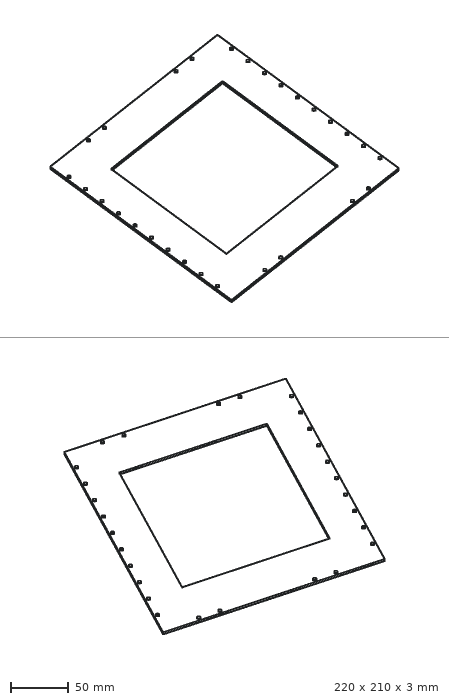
import cadquery as cq

length = 220.0
width = 210.0
thickness = 3.0
window_side = 140.0

hole_diameter = 3.0
edge_inset = 3.0
hole_pitch = 20.0
holes_per_long_edge = 10

upper_pair_outer_y = 70.0
lower_pair_outer_y = -60.0

hole_row_x = length / 2 - edge_inset
hole_row_y = width / 2 - edge_inset

long_edge_x = [
    (i - (holes_per_long_edge - 1) / 2) * hole_pitch
    for i in range(holes_per_long_edge)
]
side_edge_y = [
    upper_pair_outer_y,
    upper_pair_outer_y - hole_pitch,
    lower_pair_outer_y + hole_pitch,
    lower_pair_outer_y,
]

hole_centers = []
for side in (-1, 1):
    hole_centers += [(x, side * hole_row_y) for x in long_edge_x]
    hole_centers += [(side * hole_row_x, y) for y in side_edge_y]

plate = cq.Workplane("XY").rect(length, width).rect(window_side, window_side).extrude(thickness)

hole_cutters = cq.Workplane("XY").pushPoints(hole_centers).circle(hole_diameter / 2).extrude(thickness)

result = plate.cut(hole_cutters)